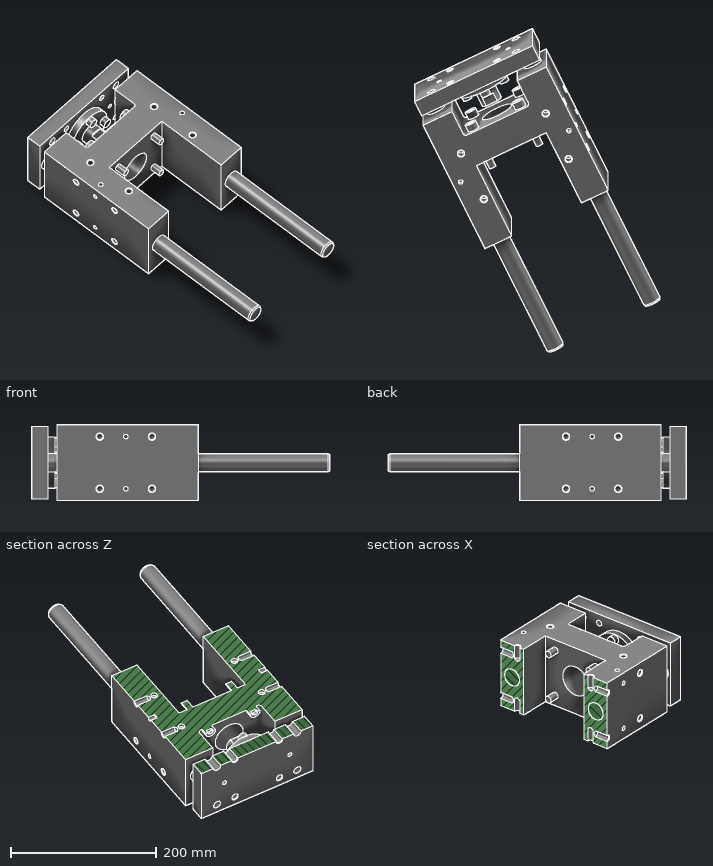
import cadquery as cq
import math


housing_start = 35.0
housing_end = 229.7
housing_width = 189.0
housing_height = 105.0
wall_start = 74.0
wall_end = 118.8
front_notch_width = 100.0
rear_notch_width = 107.0
front_notch_fillet = 4.0
piston_bore_dia = 45.0

mount_x = 130.0
mount_pitch = 72.0
top_thread_spacing = 130.0
top_pin_spacing = 166.0
thread_depth = 20.5
pin_depth = 10.3

thread_dia = 8.5
thread_mouth_dia = 10.3
drill_point_angle = 118.0
pin_dia = 6.0

wall_screw_pitch = 72.0
wall_screw_head_dia = 16.0
wall_screw_head_length = 10.0
wall_screw_shank_dia = 10.0
wall_screw_shank_end = 134.0
socket_width = 8.0
socket_depth = 5.0

plate_thickness = 22.5
plate_width = 181.0
plate_height = 100.3
plate_clearance_dia = 11.0
plate_clearance_spacing = 130.0
plate_hole_pitch = 72.0
plate_pin_spacing = 105.5

rod_dia = 25.0
rod_spacing = 148.5
rod_end = 411.0
rod_chamfer_length = 2.5
rod_chamfer_depth = 1.2

flange_dia = 71.0
flange_thickness = 10.0
flange_screw_circle_dia = 56.5
flange_screw_head_dia = 13.0
flange_screw_head_length = 8.0
stud_dia = 29.0
stud_end = 57.5
stud_flat_width = 24.0
stud_flat_length = 12.7


def x_cylinder(diameter, start, end, y=0.0, z=0.0):
    """Cylinder along X between two X positions."""
    return cq.Workplane("YZ", origin=(start, y, z)).circle(diameter / 2).extrude(end - start)


def block(start, end, width, height):
    """Box between two X positions, centred on Y = 0 and Z = 0."""
    return cq.Workplane("YZ", origin=(start, 0, 0)).rect(width, height).extrude(end - start)


def grid(pitch_a, pitch_b):
    """Four corner points of a rectangle centred on the origin."""
    return [(a * pitch_a / 2, b * pitch_b / 2) for a in (-1, 1) for b in (-1, 1)]


def blind_thread():
    """Cutter for a threaded hole along -Z from the origin: chamfered mouth, core and drill point."""
    core = thread_dia / 2
    mouth = thread_mouth_dia / 2
    mouth_depth = mouth - core
    tip = core / math.tan(math.radians(drill_point_angle / 2))
    profile = (
        cq.Workplane("XZ")
        .moveTo(0, 0)
        .lineTo(mouth, 0)
        .lineTo(core, -mouth_depth)
        .lineTo(core, -thread_depth)
        .lineTo(0, -thread_depth - tip)
        .close()
    )
    return profile.revolve(360, (0, 0, 0), (0, 1, 0))


def blind_pin_hole():
    """Cutter for a flat-bottomed dowel hole along -Z from the origin."""
    return cq.Workplane("XY").circle(pin_dia / 2).extrude(-pin_depth)


def mounting_holes():
    """Cutters for the hole patterns in the top, bottom and both side faces."""
    thread = blind_thread()
    pin = blind_pin_hole()
    cutters = []
    top = housing_height / 2
    side = housing_width / 2
    for turn in (0, 180):
        for x, y in grid(mount_pitch, top_thread_spacing):
            cutters.append(thread.translate((x, y, top)).rotate((0, 0, 0), (1, 0, 0), turn))
        for y in (-top_pin_spacing / 2, top_pin_spacing / 2):
            cutters.append(pin.translate((0, y, top)).rotate((0, 0, 0), (1, 0, 0), turn))
    for turn in (90, -90):
        for x, z in grid(mount_pitch, mount_pitch):
            cutters.append(thread.translate((x, z, side)).rotate((0, 0, 0), (1, 0, 0), turn))
        for z in (-mount_pitch / 2, mount_pitch / 2):
            cutters.append(pin.translate((0, z, side)).rotate((0, 0, 0), (1, 0, 0), turn))
    return [cutter.translate((mount_x, 0, 0)) for cutter in cutters]


def wall_screw(y, z):
    """Socket-head screw in the cross wall, as the part of it that stands out on both sides."""
    head_start = wall_start - wall_screw_head_length
    head = x_cylinder(wall_screw_head_dia, head_start, wall_start, y, z)
    socket = (
        cq.Workplane("YZ", origin=(head_start, y, z))
        .polygon(6, socket_width, circumscribed=True)
        .extrude(socket_depth)
    )
    shank = x_cylinder(wall_screw_shank_dia, wall_start, wall_screw_shank_end, y, z)
    return head.cut(socket).union(shank)


def make_housing():
    """H-shaped housing with rod bores, mounting holes and the screws of its cross wall."""
    body = block(housing_start, housing_end, housing_width, housing_height)
    front_notch = block(housing_start, wall_start, front_notch_width, housing_height)
    front_notch = front_notch.edges(">X and |Z").fillet(front_notch_fillet)
    rear_notch = block(wall_end, housing_end, rear_notch_width, housing_height)
    body = body.cut(front_notch).cut(rear_notch)
    body = body.cut(x_cylinder(piston_bore_dia, wall_start, wall_end))
    for y in (-rod_spacing / 2, rod_spacing / 2):
        body = body.cut(x_cylinder(rod_dia, housing_start, housing_end, y))
    for cutter in mounting_holes():
        body = body.cut(cutter)
    for y, z in grid(wall_screw_pitch, wall_screw_pitch):
        body = body.union(wall_screw(y, z))
    return body


def make_plate():
    """Front plate with clearance, threaded and dowel holes, all of them through."""
    plate = block(0, plate_thickness, plate_width, plate_height)
    for y, z in grid(plate_clearance_spacing, plate_hole_pitch):
        plate = plate.cut(x_cylinder(plate_clearance_dia, 0, plate_thickness, y, z))
    for y, z in grid(plate_hole_pitch, plate_hole_pitch):
        plate = plate.cut(x_cylinder(thread_dia, 0, plate_thickness, y, z))
        mouth_depth = (thread_mouth_dia - thread_dia) / 2
        mouth = cq.Solid.makeCone(
            thread_mouth_dia / 2, thread_dia / 2, mouth_depth, cq.Vector(0, y, z), cq.Vector(1, 0, 0)
        )
        plate = plate.cut(cq.Workplane(mouth))
    for y in (-plate_pin_spacing / 2, plate_pin_spacing / 2):
        plate = plate.cut(x_cylinder(pin_dia, 0, plate_thickness, y))
    return plate


def make_rod(y):
    """Guide rod from the plate's back face, with a chamfered free end."""
    rod = x_cylinder(rod_dia, plate_thickness, rod_end, y)
    return rod.faces(">X").chamfer(rod_chamfer_length, rod_chamfer_depth)


def make_coupling():
    """Round flange with four screw heads and a stud with two wrench flats."""
    flange_end = plate_thickness + flange_thickness
    coupling = x_cylinder(flange_dia, plate_thickness, flange_end)
    head_end = flange_end + flange_screw_head_length
    radius = flange_screw_circle_dia / 2
    for y, z in ((radius, 0), (0, radius), (-radius, 0), (0, -radius)):
        coupling = coupling.union(x_cylinder(flange_screw_head_dia, flange_end, head_end, y, z))
    flat_start = stud_end - stud_flat_length
    round_part = x_cylinder(stud_dia, flange_end, flat_start)
    flat_part = x_cylinder(stud_dia, flat_start, stud_end).intersect(
        block(flat_start, stud_end, stud_dia, stud_flat_width)
    )
    return coupling.union(round_part).union(flat_part)


def make_yoke():
    """Moving body: the plate with its rods and coupling."""
    yoke = make_plate().union(make_coupling())
    for y in (-rod_spacing / 2, rod_spacing / 2):
        yoke = yoke.union(make_rod(y))
    return yoke


housing = make_housing()
yoke = make_yoke()

result = cq.Compound.makeCompound([housing.solids().val(), yoke.solids().val()])